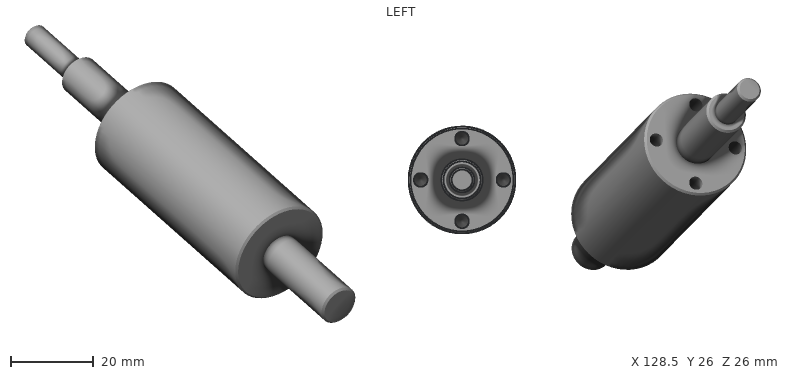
import cadquery as cq
import math

total_length = 128.5
body_length = 60.0
body_diameter = 26.0
shaft_diameter = 10.0
stub_length = 18.5
stub_diameter = 6.0

edge_chamfer = 0.5

hole_diameter = 3.3
hole_circle_diameter = 20.0
hole_count = 4
hole_depth = 10.0
drill_tip_angle = 118.0

shaft_length = (total_length - body_length - stub_length) / 2
left_end = -total_length / 2
shaft_start = left_end + stub_length
body_start = shaft_start + shaft_length
right_end = total_length / 2


def cylinder(start, length, diameter):
    """Solid cylinder on the X axis, from x = start towards +X."""
    return cq.Workplane("YZ", origin=(start, 0, 0)).circle(diameter / 2).extrude(length)


def drilled_hole(y, z):
    """Blind hole with a conical drill tip, cut from the left body face."""
    radius = hole_diameter / 2
    tip_length = radius / math.tan(math.radians(drill_tip_angle / 2))
    return (
        cq.Workplane("XY", origin=(body_start, y, z))
        .lineTo(0, radius)
        .lineTo(hole_depth, radius)
        .lineTo(hole_depth + tip_length, 0)
        .close()
        .revolve(360, (0, 0, 0), (1, 0, 0))
    )


stub = cylinder(left_end, shaft_start - left_end, stub_diameter).faces("<X").chamfer(edge_chamfer)
shaft = cylinder(shaft_start, right_end - shaft_start, shaft_diameter).faces("<X or >X").chamfer(edge_chamfer)
body = cylinder(body_start, body_length, body_diameter).faces("<X or >X").chamfer(edge_chamfer)

result = body.union(shaft).union(stub)

for index in range(hole_count):
    angle = 2 * math.pi * index / hole_count
    hole_y = hole_circle_diameter / 2 * math.cos(angle)
    hole_z = hole_circle_diameter / 2 * math.sin(angle)
    result = result.cut(drilled_hole(hole_y, hole_z))